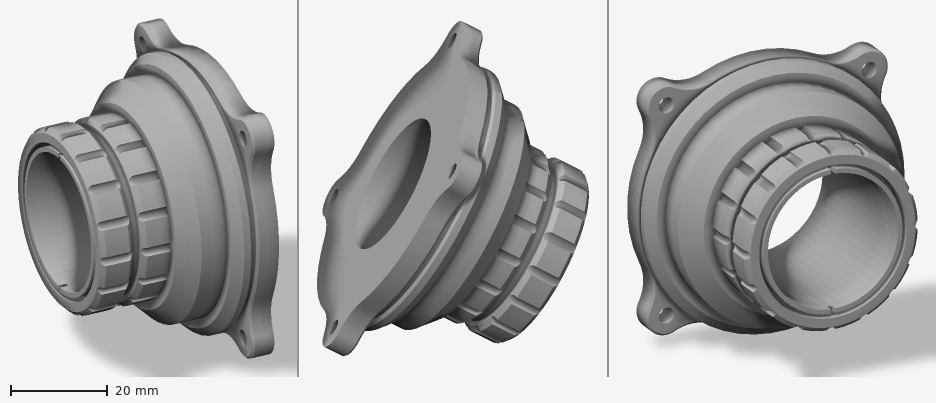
import cadquery as cq
import math


length = 36
flange_diameter = 60
flange_radius = flange_diameter / 2
bore_radius = 30 / 2

plate_thickness = 5.0
plate_chamfer = 0.5
ear_circle_radius = 33
ear_radius = 4.5
ear_blend_radius = 10.0
ear_hole_diameter = 3.5
ear_spacing = 90
ear_angles = [ear_spacing / 2 + i * ear_spacing for i in range(4)]

neck_radius = 58.0 / 2
neck_width = 1.0
flange_back_chamfer = 0.5
flange_width = 4.0
flange_front_chamfer = 2.0

body_radius = 52.0 / 2
body_front = 16.0
body_chamfer = 4.0

grip_radius = 40.0 / 2
grip_groove_radius = 36 / 2
grip_groove_width = 2.0
grip_groove_front = 7.5
grip_chamfer = 1.0
flute_count = 16
flute_radius = 1.0

mouth_groove_outer_radius = 34.0 / 2
mouth_groove_inner_radius = 32.0 / 2
mouth_groove_depth = 4.0
lip_slot_width = 1.0
lip_slot_depth = 2.0

plate_front = length - plate_thickness
flange_back = plate_front - neck_width
flange_front = flange_back - flange_width
grip_groove_back = grip_groove_front + grip_groove_width


def polar(radius, angle):
    """Point (x, z) at a radius and an angle in degrees."""
    a = math.radians(angle)
    return (radius * math.cos(a), radius * math.sin(a))


def plane_at(y):
    """Workplane at the given Y with local axes X and Z; a negative extrusion goes toward +Y."""
    return cq.Workplane("XZ", origin=(0, y, 0))


def make_turned_body():
    grip_chamfered = grip_radius - grip_chamfer
    flange_back_radius = flange_radius - flange_back_chamfer
    flange_face_radius = flange_radius - flange_front_chamfer
    profile = [
        (0, 0),
        (grip_chamfered, 0),
        (grip_radius, grip_chamfer),
        (grip_radius, grip_groove_front - grip_chamfer),
        (grip_chamfered, grip_groove_front),
        (grip_groove_radius, grip_groove_front),
        (grip_groove_radius, grip_groove_back),
        (grip_chamfered, grip_groove_back),
        (grip_radius, grip_groove_back + grip_chamfer),
        (grip_radius, body_front),
        (body_radius - body_chamfer, body_front),
        (body_radius, body_front + body_chamfer),
        (body_radius, flange_front),
        (flange_face_radius, flange_front),
        (flange_radius, flange_front + flange_front_chamfer),
        (flange_radius, flange_back - flange_back_chamfer),
        (flange_back_radius, flange_back),
        (neck_radius, flange_back),
        (neck_radius, length),
        (0, length),
    ]
    return cq.Workplane("XY").polyline(profile).close().revolve(360, (0, 0, 0), (0, 1, 0))


def make_plate():
    blend_centre_radius = flange_radius + ear_blend_radius
    ear_to_blend = ear_radius + ear_blend_radius
    cos_offset = (blend_centre_radius**2 + ear_circle_radius**2 - ear_to_blend**2) / (
        2 * blend_centre_radius * ear_circle_radius
    )
    blend_offset = math.degrees(math.acos(cos_offset))

    def between(start, end, distance):
        """Point at a distance from start on the line toward end."""
        reach = math.dist(start, end)
        return tuple(s + (e - s) * distance / reach for s, e in zip(start, end))

    def blend_points(ear_angle, side):
        """Disc tangent point, arc midpoint and ear tangent point of one blend."""
        angle = ear_angle + side * blend_offset
        centre = polar(blend_centre_radius, angle)
        on_disc = polar(flange_radius, angle)
        on_ear = between(centre, polar(ear_circle_radius, ear_angle), ear_blend_radius)
        chord_middle = tuple((d + e) / 2 for d, e in zip(on_disc, on_ear))
        return on_disc, between(centre, chord_middle, ear_blend_radius), on_ear

    outline = plane_at(plate_front).moveTo(*blend_points(ear_angles[0], -1)[0])
    for ear_angle in ear_angles:
        _, entry_middle, entry_ear = blend_points(ear_angle, -1)
        exit_disc, exit_middle, exit_ear = blend_points(ear_angle, 1)
        next_disc = blend_points(ear_angle + ear_spacing, -1)[0]
        outline = (
            outline.threePointArc(entry_middle, entry_ear)
            .threePointArc(polar(ear_circle_radius + ear_radius, ear_angle), exit_ear)
            .threePointArc(exit_middle, exit_disc)
            .threePointArc(polar(flange_radius, ear_angle + ear_spacing / 2), next_disc)
        )
    plate = outline.close().extrude(-plate_thickness)
    plate = plate.faces("<Y").edges().chamfer(plate_chamfer)

    hole_centres = [polar(ear_circle_radius, angle) for angle in ear_angles]
    holes = plane_at(plate_front).pushPoints(hole_centres).circle(ear_hole_diameter / 2)
    return plate.cut(holes.extrude(-plate_thickness))


def make_flutes():
    flute_centres = [polar(grip_radius, i * 360 / flute_count) for i in range(flute_count)]
    return plane_at(0).pushPoints(flute_centres).circle(flute_radius).extrude(-body_front)


def make_bore():
    return plane_at(0).circle(bore_radius).extrude(-length)


def make_mouth_groove():
    ring = plane_at(0).circle(mouth_groove_outer_radius).circle(mouth_groove_inner_radius)
    return ring.extrude(-mouth_groove_depth)


def make_lip_slots():
    slots = plane_at(0).rect(lip_slot_width, 2 * mouth_groove_inner_radius)
    return slots.extrude(-lip_slot_depth)


result = (
    make_turned_body()
    .union(make_plate())
    .cut(make_flutes())
    .cut(make_bore())
    .cut(make_mouth_groove())
    .cut(make_lip_slots())
)